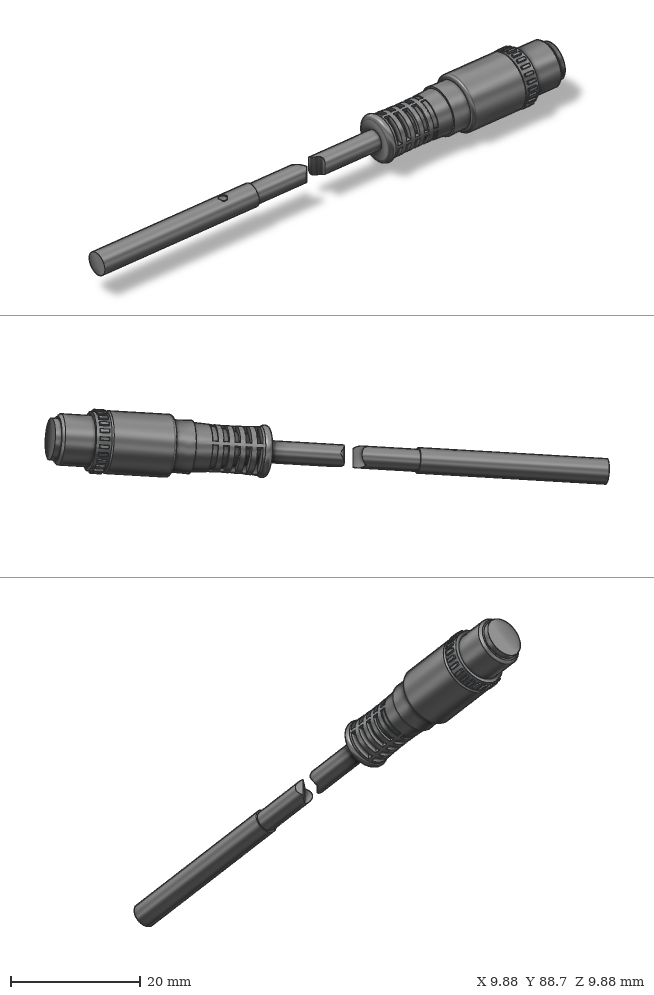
import cadquery as cq

LENGTH = 88.7

NOSE_DIAMETER = 6.5
NOSE_END = 1.0
BARREL_DIAMETER = 8.0
BARREL_CHAMFER = 0.4
COLLAR_START = 6.2
COLLAR_DIAMETER = 9.2
GRIP_START = 8.7
GRIP_DIAMETER = 9.8
GRIP_CHAMFER = 0.3
GRIP_ROUNDING = 0.4
GRIP_END = 19.1
NECK_START_DIAMETER = 8.2
NECK_END_DIAMETER = 8.3
NECK_END = 22.3
SLEEVE_END_DIAMETER = 7.7
SLEEVE_WAIST_DIAMETER = 7.3
SLEEVE_END = 34.6
FLANGE_DIAMETER = 8.2
FLANGE_LENGTH = 1.3

TOOTH_COUNT = 24
TOOTH_TIP_DIAMETER = 9.9
TOOTH_WIDTH = 0.5
TOOTH_START = 6.7
TOOTH_LENGTH = 1.5

SLOT_COUNT = 5
SLOT_START = 25.0
SLOT_WIDTH = 0.9
SLOT_PITCH = 1.8
FIRST_SLOT_FLOOR_DIAMETER = 7.1
LAST_SLOT_FLOOR_DIAMETER = 4.5
RIB_WIDTH = 0.6

CABLE_DIAMETER = 3.5
BREAK_HALF_WIDTH = CABLE_DIAMETER / 2
PLUG_BREAK_EDGE = 45.7
PLUG_BREAK_MIDDLE = 46.0
PLUG_BREAK_WAVE = 0.7
SENSOR_BREAK = 49.3
SENSOR_BREAK_WAVE = 0.8

TUBE_DIAMETER = 4.0
TUBE_LENGTH = 30.1
DIMPLE_DIAMETER = 1.5
DIMPLE_DEPTH = 0.3
DIMPLE_Y = 24.5


def rod(diameter, start, end):
    """Cylinder on the Y axis between two distances back from the plug tip."""
    return (
        cq.Workplane("XZ", origin=(0, LENGTH - start, 0))
        .circle(diameter / 2)
        .extrude(end - start)
    )


def cone(start_diameter, end_diameter, start, end):
    """Tapered round bar on the Y axis between two distances back from the plug tip."""
    return (
        cq.Workplane("XY")
        .moveTo(0, LENGTH - start)
        .lineTo(start_diameter / 2, LENGTH - start)
        .lineTo(end_diameter / 2, LENGTH - end)
        .lineTo(0, LENGTH - end)
        .close()
        .revolve(360, (0, 0, 0), (0, 1, 0))
    )


def knurl_teeth():
    """Ring of bars that stand out from the collar."""
    bars = cq.Workplane("XY")
    step = 360 / TOOTH_COUNT
    bar = (
        cq.Workplane("XY")
        .box(TOOTH_WIDTH, TOOTH_LENGTH, TOOTH_TIP_DIAMETER / 2, centered=(True, True, False))
        .translate((0, LENGTH - TOOTH_START - TOOTH_LENGTH / 2, 0))
    )
    for index in range(TOOTH_COUNT):
        bars = bars.add(bar.rotate((0, 0, 0), (0, 1, 0), (index + 0.5) * step))
    return bars.combine()


def sleeve_slots():
    """Rings of slots, each ring broken by four ribs at X = 0 and Z = 0.

    The slot floors lie on one cone, so the slots get deeper towards the cable.
    """
    last_end = SLOT_START + (SLOT_COUNT - 1) * SLOT_PITCH + SLOT_WIDTH
    slots = cq.Workplane("XY")
    for index in range(SLOT_COUNT):
        start = SLOT_START + index * SLOT_PITCH
        slots = slots.add(rod(FLANGE_DIAMETER, start, start + SLOT_WIDTH))
    slots = slots.combine()
    core = cone(FIRST_SLOT_FLOOR_DIAMETER, LAST_SLOT_FLOOR_DIAMETER, SLOT_START, last_end)
    rib = cq.Workplane("XY").box(RIB_WIDTH, LENGTH, GRIP_DIAMETER, centered=(True, False, True))
    cross_rib = rib.rotate((0, 0, 0), (0, 1, 0), 90)
    return slots.cut(core).cut(rib).cut(cross_rib)


def waisted_sleeve():
    """Slotted sleeve whose outline is one shallow hollow arc."""
    end = SLEEVE_END - FLANGE_LENGTH / 2
    middle = (NECK_END + end) / 2
    sleeve = (
        cq.Workplane("XY")
        .moveTo(0, LENGTH - NECK_END)
        .lineTo(SLEEVE_END_DIAMETER / 2, LENGTH - NECK_END)
        .threePointArc(
            (SLEEVE_WAIST_DIAMETER / 2, LENGTH - middle),
            (SLEEVE_END_DIAMETER / 2, LENGTH - end),
        )
        .lineTo(0, LENGTH - end)
        .close()
        .revolve(360, (0, 0, 0), (0, 1, 0))
    )
    return sleeve.cut(sleeve_slots())


def round_flange():
    """Flange at the cable end with a fully rounded rim."""
    start = LENGTH - SLEEVE_END + FLANGE_LENGTH
    end = LENGTH - SLEEVE_END
    rim = FLANGE_DIAMETER / 2
    flat = rim - FLANGE_LENGTH / 2
    return (
        cq.Workplane("XY")
        .moveTo(0, start)
        .lineTo(flat, start)
        .threePointArc((rim, (start + end) / 2), (flat, end))
        .lineTo(0, end)
        .close()
        .revolve(360, (0, 0, 0), (0, 1, 0))
    )


def plug_cable():
    """Cable stub whose broken end is an S of two arcs."""
    half = BREAK_HALF_WIDTH
    edge = LENGTH - PLUG_BREAK_EDGE
    middle = LENGTH - PLUG_BREAK_MIDDLE
    return (
        cq.Workplane("XY", origin=(0, 0, -half))
        .moveTo(-half, LENGTH - SLEEVE_END)
        .lineTo(-half, edge)
        .threePointArc((-half / 2, middle - PLUG_BREAK_WAVE), (0, middle))
        .threePointArc((half / 2, middle + PLUG_BREAK_WAVE), (half, edge))
        .lineTo(half, LENGTH - SLEEVE_END)
        .close()
        .extrude(CABLE_DIAMETER)
        .intersect(rod(CABLE_DIAMETER, 0, LENGTH))
    )


def make_plug():
    barrel = rod(BARREL_DIAMETER, NOSE_END, COLLAR_START).faces(">Y").chamfer(BARREL_CHAMFER)
    grip = rod(GRIP_DIAMETER, GRIP_START, GRIP_END)
    grip = grip.faces(">Y").chamfer(GRIP_CHAMFER).faces("<Y").edges().fillet(GRIP_ROUNDING)
    return (
        rod(NOSE_DIAMETER, 0, NOSE_END)
        .union(barrel)
        .union(rod(COLLAR_DIAMETER, COLLAR_START, GRIP_START))
        .union(knurl_teeth())
        .union(grip)
        .union(cone(NECK_START_DIAMETER, NECK_END_DIAMETER, GRIP_END, NECK_END))
        .union(waisted_sleeve())
        .union(round_flange())
        .union(plug_cable())
    )


def sensor_cable():
    """Cable stub whose broken end is a zigzag."""
    half = BREAK_HALF_WIDTH
    end = LENGTH - SENSOR_BREAK
    return (
        cq.Workplane("XY", origin=(0, 0, -half))
        .moveTo(-half, TUBE_LENGTH)
        .lineTo(-half, end)
        .lineTo(-half / 2, end - SENSOR_BREAK_WAVE)
        .lineTo(half / 2, end + SENSOR_BREAK_WAVE)
        .lineTo(half, end)
        .lineTo(half, TUBE_LENGTH)
        .close()
        .extrude(CABLE_DIAMETER)
        .intersect(rod(CABLE_DIAMETER, 0, LENGTH))
    )


def make_sensor():
    tube = rod(TUBE_DIAMETER, LENGTH - TUBE_LENGTH, LENGTH)
    dimple = (
        cq.Workplane("XY", origin=(0, DIMPLE_Y, TUBE_DIAMETER / 2 - DIMPLE_DEPTH))
        .circle(DIMPLE_DIAMETER / 2)
        .extrude(TUBE_DIAMETER)
    )
    return tube.cut(dimple).union(sensor_cable())


plug = make_plug()
sensor = make_sensor()
result = cq.Compound.makeCompound([plug.val(), sensor.val()])